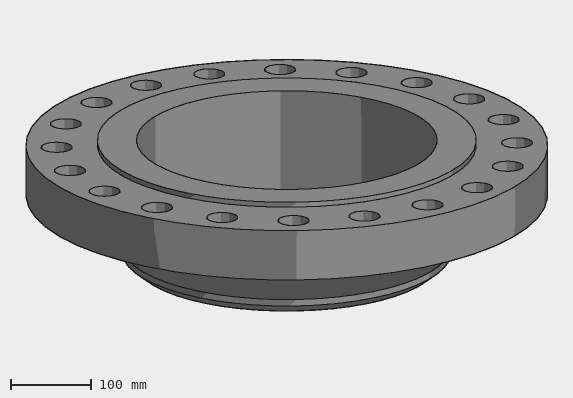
import cadquery as cq

total_height = 159.0
bore_radius = 186.5

flange_radius = 324.0
flange_thickness = 65.0
face_radius = 235.0
face_height = 6.5
flange_top = total_height - face_height
flange_bottom = flange_top - flange_thickness

hub_top_radius = 239.0
hub_fillet_radius = 10.0
neck_radius = 204.0
neck_top = 20.0
bevel_height = 11.5
bevel_end_radius = 190.0

bolt_count = 20
bolt_circle_radius = 285.5
bolt_hole_diameter = 38.0


def make_body():
    """Revolve the half section of the flange about the Z axis."""
    section = [
        (bore_radius, 0),
        (bevel_end_radius, 0),
        (neck_radius, bevel_height),
        (neck_radius, neck_top),
        (hub_top_radius, flange_bottom),
        (flange_radius, flange_bottom),
        (flange_radius, flange_top),
        (face_radius, flange_top),
        (face_radius, total_height),
        (bore_radius, total_height),
    ]
    return cq.Workplane("XZ").polyline(section).close().revolve(360, (0, 0), (0, 1))


def round_hub_corner(body):
    """Fillet the inside corner between the hub taper and the flange underside."""
    underside = body.faces("|Z").faces(">Z[1]")
    return underside.edges(cq.selectors.RadiusNthSelector(0)).fillet(hub_fillet_radius)


def make_bolt_holes():
    """Cylinders through the flange, evenly spaced with the first on +X."""
    return (
        cq.Workplane("XY")
        .workplane(offset=flange_bottom)
        .polarArray(bolt_circle_radius, 0, 360, bolt_count)
        .circle(bolt_hole_diameter / 2)
        .extrude(flange_thickness)
    )


result = round_hub_corner(make_body()).cut(make_bolt_holes())